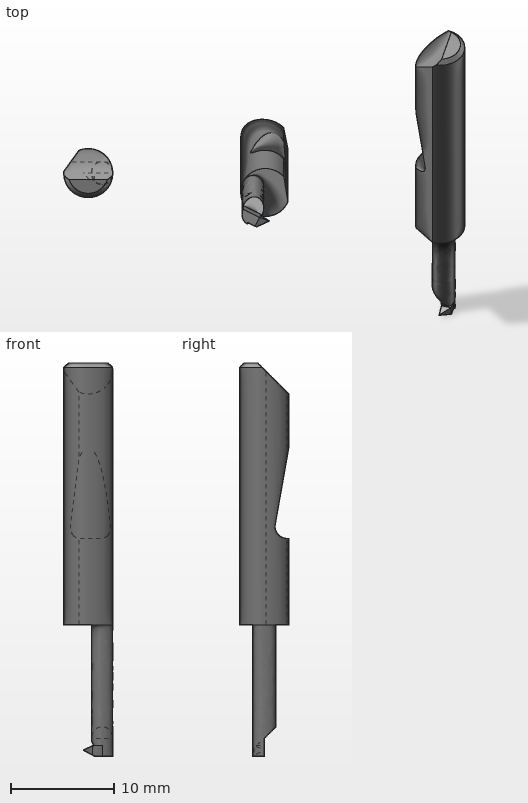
import cadquery as cq
import math

total_length = 38.1
shank_radius = 2.38
neck_length = 12.73
end_chamfer = 0.42

flat_distance = 2.02
flat_angle = 144

slope_start_y = -0.63

notch_bottom_z = 21.1
notch_top_z = 29.87
notch_taper_angle = 10
notch_fillet = 1.15

neck_left_x = 0.3
neck_half_width = (shank_radius - neck_left_x) / 2
neck_half_depth = 1.125
neck_slope_z = 2.85

undercut_top_z = 1.5
undercut_depth = 0.23

head_height = 1.03
head_left_x = 0.42
head_right_x = 1.37
head_front_y = -1.0
head_bottom_x = 0.6
tooth_tip_x = -0.45
tooth_tip_z = 0.57
tooth_tip_width = 0.057

oversize = 2 * shank_radius


def prism_along_x(points):
    """Extrude a (Y, Z) outline across the whole shank."""
    return cq.Workplane("YZ").polyline(points).close().extrude(oversize, both=True)


def make_shank():
    shank = (
        cq.Workplane("XY")
        .workplane(offset=neck_length)
        .circle(shank_radius)
        .extrude(total_length - neck_length)
        .faces(">Z")
        .chamfer(end_chamfer)
    )
    side_flat = (
        cq.Workplane("XY")
        .box(oversize, oversize, total_length, centered=(False, True, False))
        .translate((flat_distance, 0, 0))
        .rotate((0, 0, 0), (0, 0, 1), flat_angle)
    )
    slope = prism_along_x([
        (slope_start_y, total_length),
        (slope_start_y + oversize, total_length - oversize),
        (slope_start_y + oversize, total_length),
    ])
    return shank.cut(side_flat).cut(slope).cut(make_notch())


def make_notch():
    taper = math.tan(math.radians(notch_taper_angle))
    floor_y = shank_radius - (notch_top_z - notch_bottom_z) * taper
    mouth_y = shank_radius + oversize
    mouth_z = notch_bottom_z + (mouth_y - floor_y) / taper
    notch = prism_along_x([
        (floor_y, notch_bottom_z),
        (mouth_y, notch_bottom_z),
        (mouth_y, mouth_z),
    ])
    return notch.edges("|X and <Y").fillet(notch_fillet)


def make_neck():
    neck = (
        cq.Workplane("XY")
        .center(shank_radius - neck_half_width, 0)
        .ellipse(neck_half_width, neck_half_depth)
        .extrude(neck_length)
    )
    tip_relief = prism_along_x([
        (0, 0),
        (neck_half_depth, 0),
        (neck_half_depth, neck_slope_z),
        (0, neck_slope_z - neck_half_depth),
    ])
    undercut = (
        cq.Workplane("XZ")
        .polyline([
            (neck_left_x, undercut_top_z),
            (neck_left_x + undercut_depth, head_height),
            (head_right_x, head_height),
            (head_right_x, 0),
            (neck_left_x, 0),
        ])
        .close()
        .extrude(oversize, both=True)
    )
    return neck.cut(tip_relief).cut(undercut)


def make_head():
    head = (
        cq.Workplane("XZ")
        .polyline([
            (head_right_x, 0),
            (head_right_x, head_height),
            (head_left_x, head_height),
            (tooth_tip_x, tooth_tip_z + tooth_tip_width),
            (tooth_tip_x, tooth_tip_z),
            (head_bottom_x, 0),
        ])
        .close()
        .extrude(-head_front_y)
    )
    plan = (
        cq.Workplane("XY")
        .polyline([
            (tooth_tip_x, 0),
            (head_left_x, head_front_y),
            (head_right_x, -neck_half_depth),
            (head_right_x, 0),
        ])
        .close()
        .extrude(head_height)
    )
    return head.intersect(plan)


result = make_shank().union(make_neck()).union(make_head())